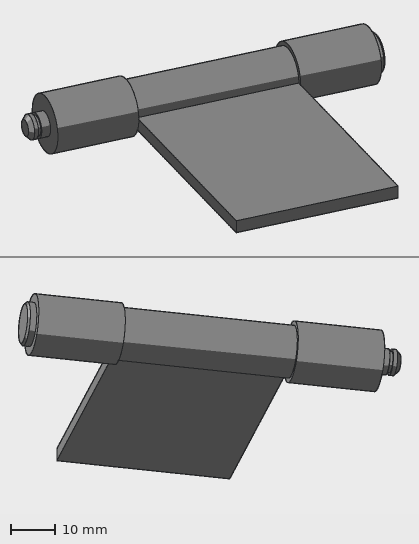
import cadquery as cq

overall_length = 87.0
overall_width = 67.0

barrel_diameter = 14.0
barrel_length = 20.0
knuckle_diameter = 12.0
knuckle_length = 2 * barrel_length
leaf_thickness = 3.05
leaf_reach = overall_width - barrel_diameter / 2

pin_diameter = 6.0
pin_radius = pin_diameter / 2
head_radius = 10.0 / 2
head_height = 2.0
head_chamfer = 0.5
tip_chamfer = 1.05
groove_offset = 2.2
groove_width = 0.8
groove_depth = 0.5

stack_half_length = knuckle_length / 2 + barrel_length
head_end = stack_half_length + head_height
tip_end = head_end - overall_length
groove_start = -stack_half_length - groove_offset
groove_end = groove_start - groove_width
groove_radius = pin_radius - groove_depth


def cylinder(diameter, start, length):
    """Solid cylinder on the hinge axis, running toward +Y from start."""
    axis_plane = cq.Workplane("XZ", origin=(0, start, 0))
    return axis_plane.circle(diameter / 2).extrude(-length)


def make_barrel(start):
    """Plain end barrel with a through bore for the pin."""
    bore = cylinder(pin_diameter, start, barrel_length)
    return cylinder(barrel_diameter, start, barrel_length).cut(bore)


def make_leaf():
    """Knuckle and flat plate in one piece; the plate's top is level with the axis."""
    start = -knuckle_length / 2
    plate = cq.Workplane("XY").box(
        leaf_reach, knuckle_length, leaf_thickness, centered=(False, True, False)
    )
    plate = plate.translate((0, 0, -leaf_thickness))
    bore = cylinder(pin_diameter, start, knuckle_length)
    return cylinder(knuckle_diameter, start, knuckle_length).union(plate).cut(bore)


def make_pin():
    """Headed pin with a retaining groove, revolved from its half profile."""
    profile = [
        (0, tip_end),
        (pin_radius - tip_chamfer, tip_end),
        (pin_radius, tip_end + tip_chamfer),
        (pin_radius, groove_end),
        (groove_radius, groove_end),
        (groove_radius, groove_start),
        (pin_radius, groove_start),
        (pin_radius, stack_half_length),
        (head_radius, stack_half_length),
        (head_radius, head_end - head_chamfer),
        (head_radius - head_chamfer, head_end),
        (0, head_end),
    ]
    return cq.Workplane("XY").polyline(profile).close().revolve(360, (0, 0, 0), (0, 1, 0))


barrel_starts = [-stack_half_length, knuckle_length / 2]
barrels = [make_barrel(start) for start in barrel_starts]
leaf = make_leaf()
pin = make_pin()

result = cq.Compound.makeCompound([*[barrel.val() for barrel in barrels], leaf.val(), pin.val()])